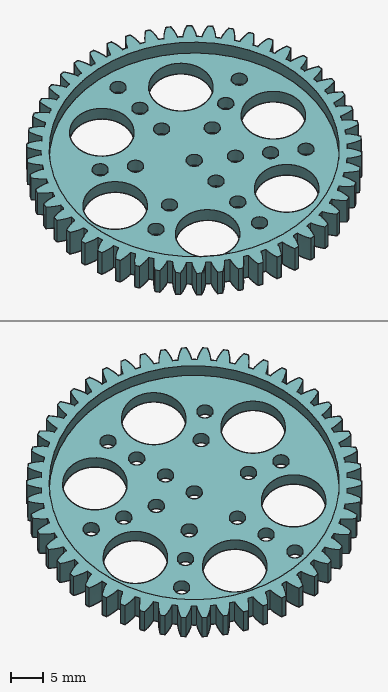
import cadquery as cq
import math

module = 1.0
tooth_count = 50
pressure_angle = math.radians(20)
gear_width = 5.0
dedendum_factor = 1.25
flank_steps = 5

pitch_radius = module * tooth_count / 2
tip_radius = pitch_radius + module
root_radius = pitch_radius - dedendum_factor * module
base_radius = pitch_radius * math.cos(pressure_angle)
tooth_pitch_angle = 2 * math.pi / tooth_count

recess_diameter = 45.0
recess_depth = 2.5

large_hole_count = 6
large_hole_diameter = 10.0
large_hole_circle_radius = 15.5
large_hole_start_angle = math.radians(90)

small_hole_diameter = 2.5
small_hole_spacing = 5.52
holes_per_arm = [3, 3, 3, 3, 2, 2]


def polar(radius, angle):
    return (radius * math.cos(angle), radius * math.sin(angle))


def involute(angle):
    return math.tan(angle) - angle


def tooth_half_angle(radius):
    """Half the angle that a tooth spans at the given radius."""
    pitch_half_angle = tooth_pitch_angle / 4
    local_pressure_angle = math.acos(base_radius / radius)
    return pitch_half_angle + involute(pressure_angle) - involute(local_pressure_angle)


def gear_blank():
    """Toothed disc, with the middle of one tooth on the +X axis."""
    flank_radii = [
        root_radius + (tip_radius - root_radius) * step / flank_steps
        for step in range(flank_steps + 1)
    ]
    root_half_angle = tooth_half_angle(root_radius)
    outline = cq.Workplane("XY").moveTo(*polar(root_radius, -root_half_angle))
    for tooth in range(tooth_count):
        middle = tooth * tooth_pitch_angle
        rising_flank = [polar(r, middle - tooth_half_angle(r)) for r in flank_radii]
        falling_flank = [polar(r, middle + tooth_half_angle(r)) for r in reversed(flank_radii)]
        gap_middle = polar(root_radius, middle + tooth_pitch_angle / 2)
        gap_end = polar(root_radius, middle + tooth_pitch_angle - root_half_angle)
        outline = outline.spline(rising_flank[1:], includeCurrent=True)
        outline = outline.threePointArc(polar(tip_radius, middle), falling_flank[0])
        outline = outline.spline(falling_flank[1:], includeCurrent=True)
        outline = outline.threePointArc(gap_middle, gap_end)
    return outline.close().extrude(gear_width)


def recess():
    floor = cq.Workplane("XY").workplane(offset=gear_width - recess_depth)
    return floor.circle(recess_diameter / 2).extrude(recess_depth)


def through_holes(centres, diameter):
    return cq.Workplane("XY").pushPoints(centres).circle(diameter / 2).extrude(gear_width)


def large_hole_centres():
    step = 2 * math.pi / large_hole_count
    return [
        polar(large_hole_circle_radius, large_hole_start_angle + i * step)
        for i in range(large_hole_count)
    ]


def small_hole_centres():
    """Each arm starts a fraction of one spacing further out than the arm before it."""
    arm_count = len(holes_per_arm)
    centres = [(0, 0)]
    for arm, hole_count in enumerate(holes_per_arm):
        arm_angle = 2 * math.pi * arm / arm_count
        start_radius = small_hole_spacing * (1 + arm / arm_count)
        for i in range(hole_count):
            centres.append(polar(start_radius + i * small_hole_spacing, arm_angle))
    return centres


result = (
    gear_blank()
    .cut(recess())
    .cut(through_holes(large_hole_centres(), large_hole_diameter))
    .cut(through_holes(small_hole_centres(), small_hole_diameter))
)